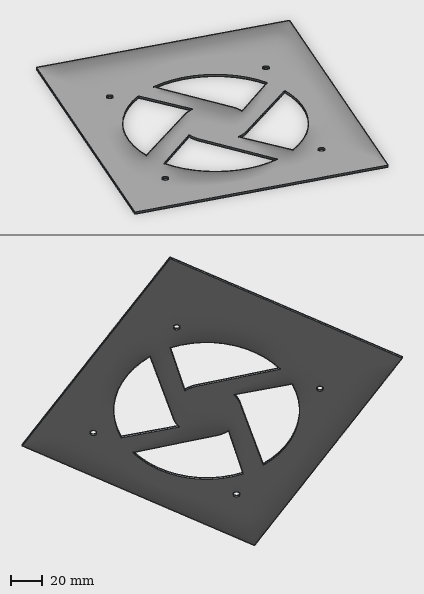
import cadquery as cq

plate_length = 186.0
plate_width = 170.0
thickness = 1.6

fan_x = 8.4
fan_y = -0.7
opening_radius = 58.8
hub_radius = 22.1
spoke_count = 4
spoke_offset = 15.6
spoke_root_width = 12.8
spoke_tip_width = 14.3
first_spoke_angle = 45.0

hole_spacing = 104.9
hole_diameter = 4.3


def make_spoke(angle):
    """Spoke that leaves the hub along its rim and widens outwards, turned about the fan axis."""
    root_outer_edge = spoke_offset + spoke_root_width / 2
    root_inner_edge = spoke_offset - spoke_root_width / 2
    tip_outer_edge = spoke_offset + spoke_tip_width / 2
    tip_inner_edge = spoke_offset - spoke_tip_width / 2
    outline = [
        (0, -root_outer_edge),
        (opening_radius, -tip_outer_edge),
        (opening_radius, -tip_inner_edge),
        (0, -root_inner_edge),
    ]
    spoke = cq.Workplane("XY").polyline(outline).close().extrude(thickness)
    return spoke.rotate((0, 0, 0), (0, 0, 1), angle)


def make_windows():
    """Ring between hub and opening edge, split into windows by the spokes."""
    ring = cq.Workplane("XY").circle(opening_radius).circle(hub_radius).extrude(thickness)
    for index in range(spoke_count):
        ring = ring.cut(make_spoke(first_spoke_angle + index * 360.0 / spoke_count))
    return ring


def make_mounting_holes():
    """Through holes at the corners of the mounting square."""
    return (
        cq.Workplane("XY")
        .rect(hole_spacing, hole_spacing, forConstruction=True)
        .vertices()
        .circle(hole_diameter / 2)
        .extrude(thickness)
    )


plate = cq.Workplane("XY").box(plate_length, plate_width, thickness, centered=(True, True, False))
fan_centre = (fan_x, fan_y, 0)
plate = plate.cut(make_windows().translate(fan_centre))
result = plate.cut(make_mounting_holes().translate(fan_centre))